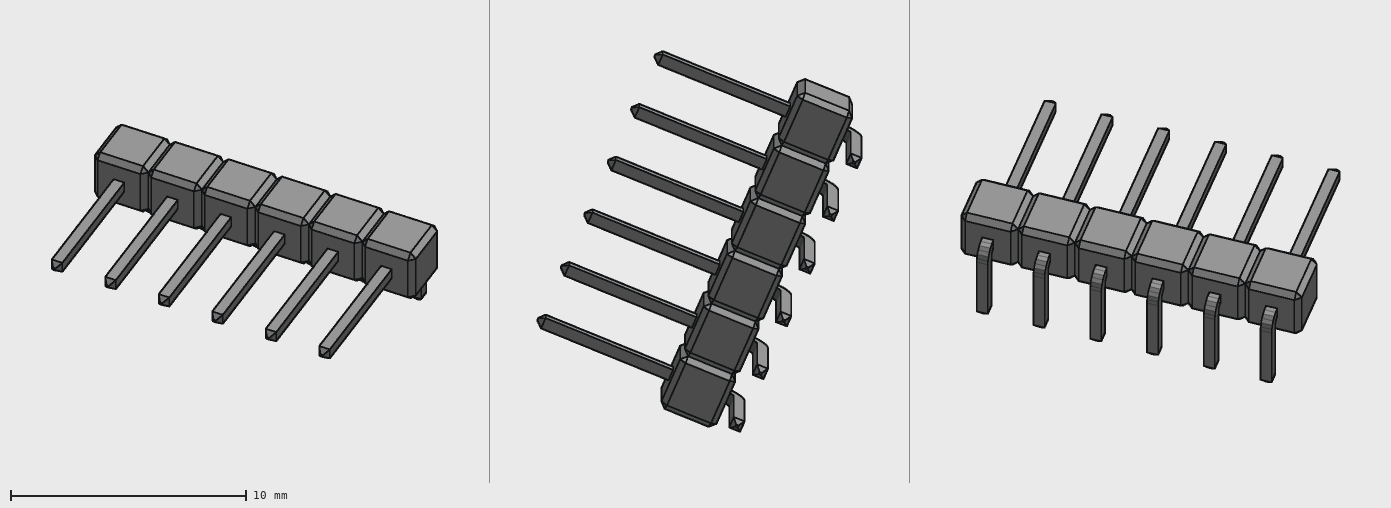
import cadquery as cq
import math

ROW_LENGTH = 15.24
POSITIONS = 6
PITCH = ROW_LENGTH / POSITIONS

BLOCK_SIZE = PITCH
BLOCK_CHAMFER = BLOCK_SIZE / 10

PIN_WIDTH = 0.5
FRONT_REACH = 6.14
BACK_REACH = 0.76
TIP_LENGTH = 0.26
TIP_WIDTH = 0.1

BEND_INNER_RADIUS = 0.25
BEND_OUTER_RADIUS = BEND_INNER_RADIUS + PIN_WIDTH
BEND_FACETS = 6

BAR_FRONT_Y = -BLOCK_SIZE / 2 - FRONT_REACH + TIP_LENGTH
PIN_BACK_Y = BLOCK_SIZE / 2 + BACK_REACH
BENT_LEG_Y = PIN_BACK_Y - PIN_WIDTH / 2
PIN_DROP = 1.5 * BLOCK_SIZE
BAR_BOTTOM_Z = -PIN_DROP + TIP_LENGTH
BEND_CENTRE_Y = PIN_BACK_Y - BEND_OUTER_RADIUS
BEND_CENTRE_Z = PIN_WIDTH / 2 - BEND_OUTER_RADIUS


def make_block():
    """Cube with all twelve edges chamfered."""
    return cq.Workplane("XY").box(BLOCK_SIZE, BLOCK_SIZE, BLOCK_SIZE).edges().chamfer(BLOCK_CHAMFER)


def bend_corners(radius):
    """Facet corners (Y, Z) of the bend, from the straight leg round to the bent leg."""
    corners = []
    for step in range(BEND_FACETS + 1):
        angle = math.radians(90) * step / BEND_FACETS
        y = BEND_CENTRE_Y + radius * math.sin(angle)
        z = BEND_CENTRE_Z + radius * math.cos(angle)
        corners.append((y, z))
    return corners


def make_bar():
    """Square bent bar without its tips, extruded across X from its side outline."""
    front_end = [(BAR_FRONT_Y, -PIN_WIDTH / 2), (BAR_FRONT_Y, PIN_WIDTH / 2)]
    bottom_end = [(PIN_BACK_Y, BAR_BOTTOM_Z), (PIN_BACK_Y - PIN_WIDTH, BAR_BOTTOM_Z)]
    outer_bend = bend_corners(BEND_OUTER_RADIUS)
    inner_bend = bend_corners(BEND_INNER_RADIUS)[::-1]
    outline = front_end + outer_bend + bottom_end + inner_bend
    return cq.Workplane("YZ").polyline(outline).close().extrude(PIN_WIDTH / 2, both=True)


def make_tip(base_plane):
    """Blunt pyramid that tapers from the pin section along the plane's normal."""
    return (
        cq.Workplane(base_plane)
        .rect(PIN_WIDTH, PIN_WIDTH)
        .workplane(offset=TIP_LENGTH)
        .rect(TIP_WIDTH, TIP_WIDTH)
        .loft(ruled=True)
    )


def make_pin():
    """Bent bar with a blunt tip at each end."""
    front_plane = cq.Plane((0, BAR_FRONT_Y, 0), xDir=(1, 0, 0), normal=(0, -1, 0))
    bottom_plane = cq.Plane((0, BENT_LEG_Y, BAR_BOTTOM_Z), xDir=(1, 0, 0), normal=(0, 0, -1))
    return make_bar().union(make_tip(front_plane)).union(make_tip(bottom_plane))


def make_header_position(index):
    """One block and its pin as a single solid, placed in the row centred on X = 0."""
    x = (index - (POSITIONS - 1) / 2) * PITCH
    return make_block().union(make_pin()).translate((x, 0, 0)).solids()


header_positions = [make_header_position(index) for index in range(POSITIONS)]

result = cq.Compound.makeCompound([position.val() for position in header_positions])